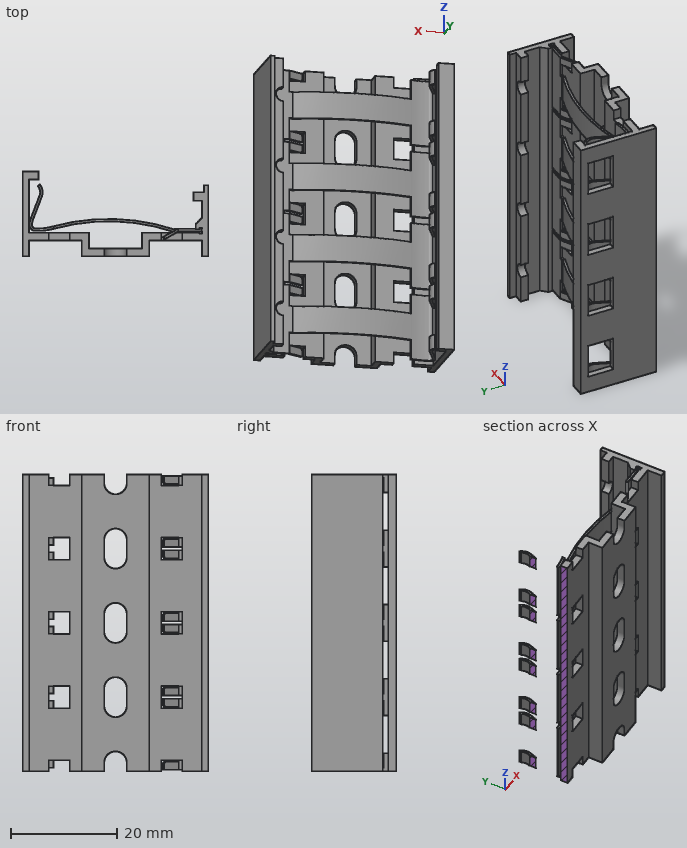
import cadquery as cq
import math

LENGTH = 56.0
WIDTH = 35.0
LEFT_X = -WIDTH / 2
RIGHT_X = WIDTH / 2
PITCH = LENGTH / 4
SPRING_LEVELS = [(i - 1.5) * PITCH for i in range(4)]
HOLE_LEVELS = [(i - 2) * PITCH for i in range(5)]

WALL = 1.25
WEB_BOTTOM = 2.95
WEB_TOP = 4.5
HAT_HALF_WIDTH = 6.4
HAT_SIDE = 1.4
HAT_FLOOR = 1.5

LEFT_HEIGHT = 16.0
LIP_REACH = 3.0
LIP_THICKNESS = 1.55

RIGHT_HEIGHT = 13.45
RIM_THICKNESS = 0.85
LEDGE_REACH = 2.8
LEDGE_BOTTOM = 10.5
LEDGE_TOP = 12.1
WEDGE_REACH = 2.4
WEDGE_BOTTOM = 5.15
WEDGE_SHOULDER = 6.05
WEDGE_TOP = 7.3
RELIEF_WIDTH = 0.4
RELIEF_BOTTOM = 4.3
RELIEF_TOP = 5.3

WINDOW_WIDTH = 3.9
WINDOW_HEIGHT = 4.15
WINDOW_X = 10.6
OBLONG_WIDTH = 4.2
OBLONG_LENGTH = 7.5
SLOT_HEIGHT = 7.05
SLOT_BOTTOM = 9.1
SLOT_TOP = LEFT_HEIGHT - LIP_THICKNESS
SCALLOP_RADIUS = 1.4

SHEET = 0.5
PLATE_Y = 5.0
PLATE_START_X = 11.2
CROSSBAR_RIGHT_X = 11.9
CROSSBAR_RIGHT_HALF = 6.7
CROSSBAR_LEFT_X = -11.65
CROSSBAR_LEFT_HALF = 6.3
STRIP_HALF = 2.6
ARCH_RADIUS = 39.2
ARCH_CREST_X = -1.3
ARCH_CREST_Y = 6.85
ARCH_LEFT_ANGLE = 15.5
FLATTENING_RADIUS = 10.1
FOOT_LENGTH = 0.6
CURL_RADIUS = 0.9
LEG_LEAN = 21.0
LEG_BEND_RADIUS = 2.95
LEG_LENGTH = 4.65
TIP_RADIUS = 2.1
TIP_TURN = 61.0
LEG_NOTCH_HALF = 3.6
LEG_NOTCH_BOTTOM = 6.7

TAB_INNER = 5.15
TAB_TIP_X = 9.1
TAB_TIP_Y = 3.4
TAB_CHAMFER = 0.3


def box(x_range, y_range, z_range):
    """Axis-aligned block spanning the given ranges."""
    (x0, x1), (y0, y1), (z0, z1) = x_range, y_range, z_range
    return cq.Workplane("XY").box(x1 - x0, y1 - y0, z1 - z0, centered=False).translate((x0, y0, z0))


def make_rail():
    wall_inner_left = LEFT_X + WALL
    wall_inner_right = RIGHT_X - WALL
    hat_inner = HAT_HALF_WIDTH - HAT_SIDE
    relief_x = wall_inner_right - RELIEF_WIDTH
    outline = [
        (LEFT_X, 0),
        (wall_inner_left, 0),
        (wall_inner_left, WEB_BOTTOM),
        (-HAT_HALF_WIDTH, WEB_BOTTOM),
        (-HAT_HALF_WIDTH, 0),
        (HAT_HALF_WIDTH, 0),
        (HAT_HALF_WIDTH, WEB_BOTTOM),
        (wall_inner_right, WEB_BOTTOM),
        (wall_inner_right, 0),
        (RIGHT_X, 0),
        (RIGHT_X, RIGHT_HEIGHT),
        (RIGHT_X - RIM_THICKNESS, RIGHT_HEIGHT),
        (RIGHT_X - RIM_THICKNESS, LEDGE_TOP),
        (RIGHT_X - LEDGE_REACH, LEDGE_TOP),
        (RIGHT_X - LEDGE_REACH, LEDGE_BOTTOM),
        (wall_inner_right, LEDGE_BOTTOM),
        (wall_inner_right, WEDGE_TOP),
        (RIGHT_X - WEDGE_REACH, WEDGE_SHOULDER),
        (RIGHT_X - WEDGE_REACH, WEDGE_BOTTOM),
        (relief_x, WEDGE_BOTTOM),
        (relief_x, RELIEF_TOP),
        (wall_inner_right, RELIEF_TOP),
        (wall_inner_right, RELIEF_BOTTOM),
        (relief_x, RELIEF_BOTTOM),
        (relief_x, WEB_TOP),
        (hat_inner, WEB_TOP),
        (hat_inner, HAT_FLOOR),
        (-hat_inner, HAT_FLOOR),
        (-hat_inner, WEB_TOP),
        (wall_inner_left, WEB_TOP),
        (wall_inner_left, SLOT_TOP),
        (LEFT_X + LIP_REACH, SLOT_TOP),
        (LEFT_X + LIP_REACH, LEFT_HEIGHT),
        (LEFT_X, LEFT_HEIGHT),
    ]
    return cq.Workplane("XY").polyline(outline).close().extrude(LENGTH / 2, both=True)


def cut_openings(rail):
    web_middle = (WEB_BOTTOM + WEB_TOP) / 2
    for level in HOLE_LEVELS:
        window = cq.Workplane("XY").box(WINDOW_WIDTH, 2 * (WEB_TOP - WEB_BOTTOM), WINDOW_HEIGHT)
        for side in (-1, 1):
            rail = rail.cut(window.translate((side * WINDOW_X, web_middle, level)))
        oblong = cq.Workplane("XZ").slot2D(OBLONG_LENGTH, OBLONG_WIDTH, 90).extrude(-HAT_FLOOR)
        rail = rail.cut(oblong.translate((0, 0, level)))
    for level in SPRING_LEVELS:
        slot_z = (level - SLOT_HEIGHT / 2, level + SLOT_HEIGHT / 2)
        rail = rail.cut(box((LEFT_X, LEFT_X + WALL), (SLOT_BOTTOM, SLOT_TOP), slot_z))
        scallop = (
            cq.Workplane("XZ", origin=(RIGHT_X - LEDGE_REACH, LEDGE_BOTTOM, level))
            .circle(SCALLOP_RADIUS)
            .extrude(LEDGE_BOTTOM - LEDGE_TOP)
        )
        rail = rail.cut(scallop)
    return rail


def bent_sheet():
    """Full-width sheet following the arch, the left curl and the leg, centred on Z = 0."""
    arch_right_angle = math.degrees(math.asin((PLATE_START_X - ARCH_CREST_X) / ARCH_RADIUS))
    pieces = [
        (ARCH_RADIUS, arch_right_angle + ARCH_LEFT_ANGLE),
        (FLATTENING_RADIUS, -ARCH_LEFT_ANGLE),
        (FOOT_LENGTH, 0),
        (CURL_RADIUS, -90),
        (LEG_BEND_RADIUS, -LEG_LEAN),
        (LEG_LENGTH, 0),
        (TIP_RADIUS, TIP_TURN),
    ]
    x = PLATE_START_X
    y = ARCH_CREST_Y - ARCH_RADIUS * (1 - math.cos(math.radians(arch_right_angle)))
    heading = math.radians(180 - arch_right_angle)
    start_plane = cq.Plane((x, y, 0), (0, 0, 1), (math.cos(heading), math.sin(heading), 0))
    path = cq.Workplane("XY").moveTo(x, y)
    for size, turn in pieces:
        half_turn = math.radians(turn) / 2
        chord = 2 * size * math.sin(abs(half_turn)) if turn else size
        chord_heading = heading + half_turn
        end = (x + chord * math.cos(chord_heading), y + chord * math.sin(chord_heading))
        if turn:
            quarter_heading = heading + half_turn / 2
            half_chord = 2 * size * math.sin(abs(half_turn) / 2)
            middle = (x + half_chord * math.cos(quarter_heading), y + half_chord * math.sin(quarter_heading))
            path = path.threePointArc(middle, end)
        else:
            path = path.lineTo(*end)
        x, y = end
        heading += 2 * half_turn
    return cq.Workplane(start_plane).rect(2 * CROSSBAR_LEFT_HALF, SHEET).sweep(path)


def make_tab():
    """Tab on the +Z side, sloping from the spring plate into a window."""
    run = CROSSBAR_RIGHT_X - TAB_TIP_X
    drop = PLATE_Y - TAB_TIP_Y
    slope_length = math.hypot(run, drop)
    tab = (
        cq.Workplane("XY")
        .box(slope_length, SHEET, CROSSBAR_RIGHT_HALF - TAB_INNER, centered=(False, True, False))
        .edges("|Y and <X and <Z")
        .chamfer(TAB_CHAMFER)
    )
    slope = math.degrees(math.atan2(drop, run))
    return tab.rotate((0, 0, 0), (0, 0, 1), slope).translate((TAB_TIP_X, TAB_TIP_Y, TAB_INNER))


def make_spring():
    wall_inner_left = LEFT_X + WALL
    wall_inner_right = RIGHT_X - WALL
    full_height = (0, LEFT_HEIGHT)
    left_z = (-CROSSBAR_LEFT_HALF, CROSSBAR_LEFT_HALF)
    right_z = (-CROSSBAR_RIGHT_HALF, CROSSBAR_RIGHT_HALF)
    strip_z = (-STRIP_HALF, STRIP_HALF)
    plate_y = (PLATE_Y - SHEET / 2, PLATE_Y + SHEET / 2)

    blank = box((wall_inner_left, CROSSBAR_LEFT_X), full_height, left_z)
    blank = blank.union(box((wall_inner_left, CROSSBAR_RIGHT_X), full_height, strip_z))
    leg_notch_y = (LEG_NOTCH_BOTTOM, LEFT_HEIGHT)
    leg_notch_z = (-LEG_NOTCH_HALF, LEG_NOTCH_HALF)
    leg_notch = box((wall_inner_left, CROSSBAR_LEFT_X), leg_notch_y, leg_notch_z)
    spring = bent_sheet().intersect(blank.cut(leg_notch))
    spring = spring.union(box((PLATE_START_X, wall_inner_right), plate_y, strip_z))
    spring = spring.union(box((CROSSBAR_RIGHT_X, wall_inner_right), plate_y, right_z))
    tab = make_tab()
    return spring.union(tab).union(tab.mirror("XY"))


result = cut_openings(make_rail())
spring = make_spring()
for level in SPRING_LEVELS:
    result = result.union(spring.translate((0, 0, level)))